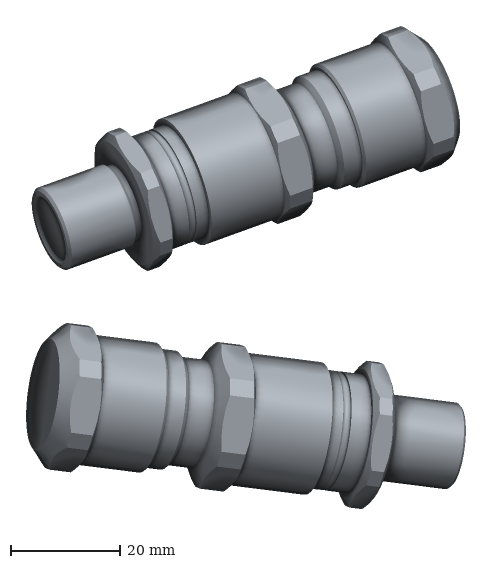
import cadquery as cq
import math

LENGTH = 78.8

ACROSS_FLATS = 25.0
ACROSS_CORNERS = 26.9
NUT_SLOPE = math.tan(math.radians(30))
GLAND_NUT_SLOPE = 0.9

THREAD_DIA = 16.0
UNDERCUT_DIA = 15.0
SLEEVE_DIA = 22.0
BODY_DIA = 24.5
NECK_DIA = 20.0
GLAND_BODY_DIA = 24.0
GLAND_FACE_DIA = 20.65
LOCKNUT_FACE_DIA = 24.0
MOUTH_DIA = 13.1
MOUTH_FLOOR_DIA = 12.0

UNDERCUT_START = 13.95
LOCKNUT_START = 15.05
LOCKNUT_END = 19.2
RING_CENTER = 23.8
BODY_START = 27.0
BODY_NUT_START = 41.8
BODY_NUT_END = 49.1
SLEEVE_START = 54.8
GLAND_BODY_START = 58.3
GLAND_NUT_START = 70.9

RING_HALF_WIDTH = 0.8
RING_BULGE = 0.4
GLAND_BODY_CHAMFER = 0.5
THREAD_CHAMFER = (THREAD_DIA - UNDERCUT_DIA) / 2
SLEEVE_CHAMFER = (SLEEVE_DIA - NECK_DIA) / 2
MOUTH_DEPTH = (MOUTH_DIA - MOUTH_FLOOR_DIA) / 2


def turned(points):
    """Revolve an outline of (radius, Y) points about the Y axis."""
    return cq.Workplane("XY").polyline(points).close().revolve(360, (0, 0, 0), (0, 1, 0))


def cylinder(diameter, start, end):
    """Plain cylinder between two Y stations."""
    radius = diameter / 2
    return turned([(0, start), (radius, start), (radius, end), (0, end)])


def hexagon(across_flats, start, end, turn):
    """Hexagonal prism along Y, turned about its axis by an angle in degrees."""
    corner_dia = across_flats / math.cos(math.radians(30))
    prism = cq.Workplane("XZ", origin=(0, end, 0)).polygon(6, corner_dia).extrude(end - start)
    return prism.rotate((0, 0, 0), (0, 1, 0), turn)


def nut(start, end, start_dia, end_dia, end_slope):
    """Hexagon with cut corners and a conical chamfer at each end."""
    rim = ACROSS_FLATS / math.cos(math.radians(30)) / 2
    start_rise = (rim - start_dia / 2) * NUT_SLOPE
    end_rise = (rim - end_dia / 2) * end_slope
    envelope = turned([
        (0, start),
        (start_dia / 2, start),
        (rim, start + start_rise),
        (rim, end - end_rise),
        (end_dia / 2, end),
        (0, end),
    ])
    flats = hexagon(ACROSS_FLATS, start, end, 0)
    corner_flats = hexagon(ACROSS_CORNERS, start, end, 30)
    return flats.intersect(corner_flats).intersect(envelope)


def threaded_entry():
    """Chamfered male thread, its undercut and the countersunk mouth."""
    outer = THREAD_DIA / 2
    root = UNDERCUT_DIA / 2
    return turned([
        (0, MOUTH_DEPTH),
        (MOUTH_FLOOR_DIA / 2, MOUTH_DEPTH),
        (MOUTH_DIA / 2, 0),
        (root, 0),
        (outer, THREAD_CHAMFER),
        (outer, UNDERCUT_START - THREAD_CHAMFER),
        (root, UNDERCUT_START),
        (root, LOCKNUT_START),
        (0, LOCKNUT_START),
    ])


def lower_sleeve():
    """Sleeve with a shallow groove holding a rounded seal ring level with its surface."""
    radius = SLEEVE_DIA / 2
    groove_floor = radius - RING_BULGE
    groove_start = RING_CENTER - RING_HALF_WIDTH
    groove_end = RING_CENTER + RING_HALF_WIDTH
    return (
        cq.Workplane("XY")
        .moveTo(0, LOCKNUT_END)
        .lineTo(radius, LOCKNUT_END)
        .lineTo(radius, groove_start)
        .lineTo(groove_floor, groove_start)
        .threePointArc((radius, RING_CENTER), (groove_floor, groove_end))
        .lineTo(radius, groove_end)
        .lineTo(radius, BODY_START)
        .lineTo(0, BODY_START)
        .close()
        .revolve(360, (0, 0, 0), (0, 1, 0))
    )


def upper_sleeve():
    """Neck above the body nut, widening through a cone to the upper sleeve."""
    return turned([
        (0, BODY_NUT_END),
        (NECK_DIA / 2, BODY_NUT_END),
        (NECK_DIA / 2, SLEEVE_START - SLEEVE_CHAMFER),
        (SLEEVE_DIA / 2, SLEEVE_START),
        (SLEEVE_DIA / 2, GLAND_BODY_START),
        (0, GLAND_BODY_START),
    ])


def gland_body():
    """Cylindrical skirt of the gland nut, chamfered at its lower end."""
    radius = GLAND_BODY_DIA / 2
    return turned([
        (0, GLAND_BODY_START),
        (radius - GLAND_BODY_CHAMFER, GLAND_BODY_START),
        (radius, GLAND_BODY_START + GLAND_BODY_CHAMFER),
        (radius, GLAND_NUT_START),
        (0, GLAND_NUT_START),
    ])


result = (
    threaded_entry()
    .union(nut(LOCKNUT_START, LOCKNUT_END, LOCKNUT_FACE_DIA, LOCKNUT_FACE_DIA, NUT_SLOPE))
    .union(lower_sleeve())
    .union(cylinder(BODY_DIA, BODY_START, BODY_NUT_START))
    .union(nut(BODY_NUT_START, BODY_NUT_END, BODY_DIA, NECK_DIA, NUT_SLOPE))
    .union(upper_sleeve())
    .union(gland_body())
    .union(nut(GLAND_NUT_START, LENGTH, GLAND_BODY_DIA, GLAND_FACE_DIA, GLAND_NUT_SLOPE))
)